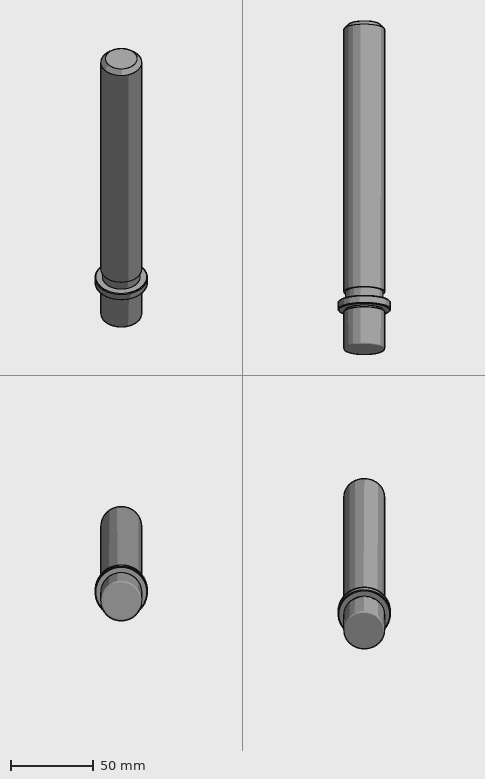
import cadquery as cq

total_length = 205.0
shaft_diameter = 25.0
neck_diameter = 23.0
collar_diameter = 32.0

base_top = 23.8
collar_bottom = 25.0
collar_thickness = 5.1
shaft_bottom = 36.5

tip_chamfer = 2.9
base_fillet = 1.0
collar_chamfer = 0.51


def cylinder(diameter, bottom, top):
    """Solid cylinder on the Z axis between two heights."""
    return cq.Workplane("XY").workplane(offset=bottom).circle(diameter / 2).extrude(top - bottom)


base = cylinder(shaft_diameter, 0, base_top).faces("<Z").edges().fillet(base_fillet)

collar = cylinder(collar_diameter, collar_bottom, collar_bottom + collar_thickness)
collar = collar.faces("<Z or >Z").edges().chamfer(collar_chamfer)

neck = cylinder(neck_diameter, base_top, shaft_bottom)

shaft = cylinder(shaft_diameter, shaft_bottom, total_length)
shaft = shaft.faces(">Z").edges().chamfer(tip_chamfer)

result = base.union(neck).union(collar).union(shaft)